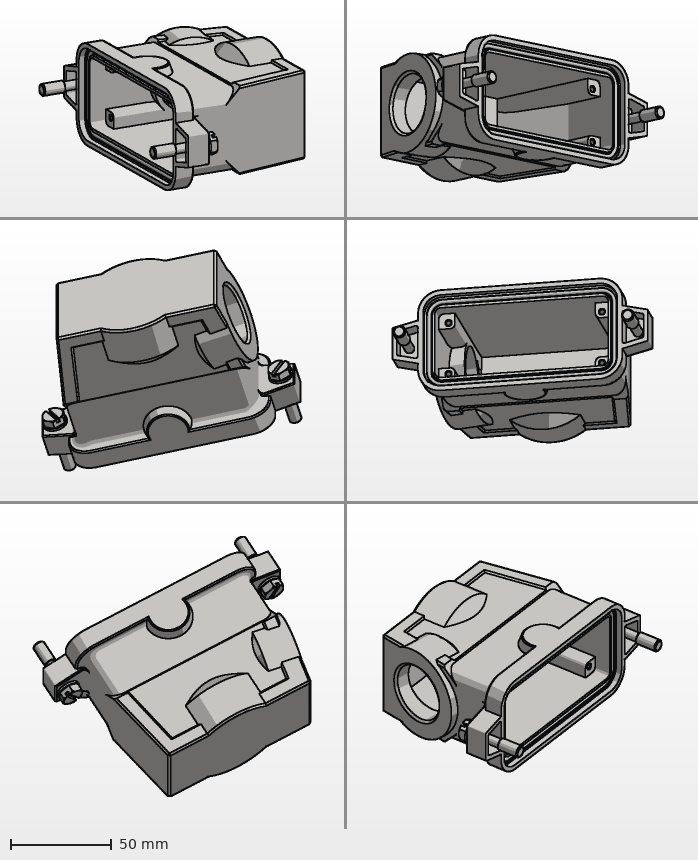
import cadquery as cq
import math


FLANGE_X = 103.6
FLANGE_Z = 53.1
FLANGE_HEIGHT = 10.4
FLANGE_RADIUS = 11.7
FLANGE_CHAMFER = 0.8

BODY_X = 93.8
BODY_Z = 43.0
BODY_TOP = 38.0
BODY_RADIUS = 7.1
BODY_FILLET = 3.6

HOOD_TOP = 80.2
HOOD_TOP_HALF_X = 39.4
HOOD_HALF_Z = 23.0
HOOD_CHAMFER = 1.0
PANEL_HALF_Z = 22.1
PANEL_TOP = 73.0
PANEL_TOP_HALF_X = 33.7
PANEL_BOTTOM_HALF_X = 39.2
CORNER_CUT_Z = 14.8

TOP_PORT_RADIUS = 28.5
TOP_PORT_END = 60.0

SIDE_TILT = 10.0
SIDE_FACE_TOP_X = -42.5
SIDE_PORT_Y = 55.7
SIDE_PORT_RADIUS = 25.0
SIDE_PORT_LENGTH = 17.7
BORE_RADIUS = 15.0
BORE_CHAMFER = 1.3
SLEEVE_RADIUS = 18.1

CAVITY_HALF_X = 43.9
CAVITY_HALF_Z = 18.4
CAVITY_RADIUS = 2.8
CAVITY_STRAIGHT = 35.0
CAVITY_TOP = 77.0
CAVITY_TOP_HALF_X = 35.7

POST_X = 38.8
POST_Z = 13.5
POST_INNER_X = 35.6
POST_INNER_Z = 10.4
POST_RADIUS = 2.5
POST_BOTTOM = 12.3
POST_HOLE_RADIUS = 1.3
POST_HOLE_DEPTH = 7.8
POST_HOLE_CHAMFER = 0.4

SEAT_INSET = 2.6
SEAT_DEPTH = 3.4
GROOVE_INSET = 3.8
GROOVE_WIDTH = 2.91
GROOVE_DEPTH = 2.1
BEAD_INSET = 4.8
BEAD_RADIUS = 1.2

BUMP_Y = 12.3
BUMP_TIP_RADIUS = 10.5
BUMP_CHAMFER = 0.5
BUMP_BASE_RADIUS = 12.3

EAR_TIP_X = 64.8
EAR_TIP_HALF_Z = 8.3
EAR_ROOT_HALF_Z = 11.4
EAR_HEIGHT = 12.2
EAR_CHAMFER = 0.6
EAR_CORNER_RADIUS = 0.8
EAR_FILLET = 2.8
EAR_WALL = 2.2
EAR_POCKET_TIP_HALF_Z = 6.2
EAR_POCKET_ROOT_HALF_Z = 9.0
EAR_POCKET_DEPTH = 9.1
EAR_POCKET_RADIUS = 1.2

SCREW_X = 57.9
SHANK_RADIUS = 2.4
THREAD_RADIUS = 3.1
THREAD_START = -4.5
THREAD_END = -16.5
THREAD_CHAMFER = 0.6
WASHER_RADIUS = 6.1
WASHER_HEIGHT = 1.3
HEX_FLATS = 10.4
HEX_TOP = 17.7
HEX_CHAMFER = 0.6
SLOT_WIDTH = 1.7
SLOT_DEPTH = 2.0
SLOT_ANGLE = 60.0

body_half_x = BODY_X / 2
body_half_z = BODY_Z / 2
flange_half_x = FLANGE_X / 2
flange_half_z = FLANGE_Z / 2
frame_bottom = BODY_TOP + HOOD_HALF_Z - body_half_z
port_core_radius = body_half_z - 1.3
side_slope = math.tan(math.radians(SIDE_TILT))
side_port_x = SIDE_FACE_TOP_X - (HOOD_TOP - SIDE_PORT_Y) * side_slope


def above(y):
    """Plane at height y whose extrusions run toward +Y; local axes are X and -Z."""
    return cq.Workplane(cq.Plane((0, y, 0), (1, 0, 0), (0, 1, 0)))


def rounded_block(size_x, size_z, radius, bottom, top):
    return above(bottom).rect(size_x, size_z).extrude(top - bottom).edges("|Y").fillet(radius)


def turned(points, plane):
    """Solid of revolution from (radius, height) points, about the local Y axis of the plane."""
    return cq.Workplane(plane).polyline(points).close().revolve(360, (0, 0), (0, 1))


def mirrored_x(shape):
    return shape.union(shape.mirror("YZ"))


def mirrored_z(shape):
    return shape.union(shape.mirror("XY"))


def hood_half_x(y):
    """Half width of the tapered hood at height y."""
    share = (HOOD_TOP - y) / (HOOD_TOP - BODY_TOP)
    return HOOD_TOP_HALF_X + share * (body_half_x - HOOD_TOP_HALF_X)


def base():
    flange = rounded_block(FLANGE_X, FLANGE_Z, FLANGE_RADIUS, 0, FLANGE_HEIGHT)
    flange = flange.faces(">Y").edges().chamfer(FLANGE_CHAMFER)
    body = rounded_block(BODY_X, BODY_Z, BODY_RADIUS, FLANGE_HEIGHT, BODY_TOP)
    joined = flange.union(body)
    root = cq.selectors.BoxSelector(
        (-body_half_x - 0.1, FLANGE_HEIGHT - 0.1, -body_half_z - 0.1),
        (body_half_x + 0.1, FLANGE_HEIGHT + 0.1, body_half_z + 0.1),
    )
    return joined.edges(root).fillet(BODY_FILLET)


def hood():
    outline = [
        (body_half_x, BODY_TOP),
        (-body_half_x, BODY_TOP),
        (-hood_half_x(SIDE_PORT_Y), SIDE_PORT_Y),
        (side_port_x, SIDE_PORT_Y),
        (SIDE_FACE_TOP_X, HOOD_TOP),
        (HOOD_TOP_HALF_X, HOOD_TOP),
    ]
    frame = cq.Workplane("XY").polyline(outline).close().extrude(HOOD_HALF_Z, both=True)
    long_edges = frame.faces("<Z or >Z").edges("not <Y")
    frame = frame.newObject(long_edges.vals() + frame.faces(">Y").edges("|Z").vals())
    frame = frame.chamfer(HOOD_CHAMFER)

    corner_y = BODY_TOP - (body_half_z - CORNER_CUT_Z)
    corner_wedge = (
        cq.Workplane("YZ")
        .polyline([
            (BODY_TOP, body_half_z), (corner_y, CORNER_CUT_Z),
            (corner_y, -CORNER_CUT_Z), (BODY_TOP, -body_half_z),
        ])
        .close()
        .extrude(body_half_x, both=True)
    )
    frame_slope = (
        cq.Workplane("YZ")
        .polyline([
            (BODY_TOP, body_half_z),
            (frame_bottom, HOOD_HALF_Z),
            (HOOD_TOP, HOOD_HALF_Z),
            (HOOD_TOP, -HOOD_HALF_Z),
            (frame_bottom, -HOOD_HALF_Z),
            (BODY_TOP, -body_half_z),
        ])
        .close()
        .extrude(flange_half_x, both=True)
    )
    return frame.intersect(frame_slope).cut(panel_recesses()).union(corner_wedge)


def panel_recesses():
    """Sunken panels with 45 degree walls, open toward the body."""
    step = HOOD_HALF_Z - PANEL_HALF_Z
    slope = (PANEL_BOTTOM_HALF_X - PANEL_TOP_HALF_X) / (PANEL_TOP - frame_bottom)
    bottom = BODY_TOP - step

    def outline(height, inset):
        low = PANEL_TOP_HALF_X + slope * (PANEL_TOP - bottom) - inset
        high = PANEL_TOP_HALF_X - inset
        top = PANEL_TOP - inset
        corners = [(-low, bottom), (low, bottom), (high, top), (-high, top)]
        return cq.Workplane("XY", origin=(0, 0, height)).polyline(corners).close().val()

    pocket = cq.Solid.makeLoft([outline(PANEL_HALF_Z, step), outline(HOOD_HALF_Z, 0)], True)
    return mirrored_z(cq.Workplane(pocket))


def top_port():
    """Closed cylinder whose inner end tapers into the panels at 45 degrees."""
    points = [
        (0, TOP_PORT_END - (TOP_PORT_RADIUS - port_core_radius)),
        (port_core_radius, TOP_PORT_END - (TOP_PORT_RADIUS - port_core_radius)),
        (TOP_PORT_RADIUS, TOP_PORT_END),
        (TOP_PORT_RADIUS, HOOD_TOP - HOOD_CHAMFER),
        (TOP_PORT_RADIUS - HOOD_CHAMFER, HOOD_TOP),
        (0, HOOD_TOP),
    ]
    return turned(points, "XY")


tilt = math.radians(SIDE_TILT)
side_plane = cq.Plane((side_port_x, SIDE_PORT_Y, 0), (math.sin(tilt), math.cos(tilt), 0),
                      (0, 0, -1))


def side_port():
    end = SIDE_PORT_LENGTH + SIDE_PORT_RADIUS - port_core_radius
    points = [
        (0, 0),
        (SIDE_PORT_RADIUS, 0),
        (SIDE_PORT_RADIUS, SIDE_PORT_LENGTH),
        (port_core_radius, end),
        (0, end),
    ]
    above_hood = above(HOOD_TOP - HOOD_CHAMFER).rect(FLANGE_X, FLANGE_Z).extrude(SIDE_PORT_RADIUS)
    return turned(points, side_plane).cut(above_hood)


def side_bore():
    points = [
        (0, 0),
        (BORE_RADIUS + BORE_CHAMFER, 0),
        (BORE_RADIUS, BORE_CHAMFER),
        (BORE_RADIUS, SIDE_PORT_LENGTH),
        (0, SIDE_PORT_LENGTH),
    ]
    return turned(points, side_plane)


def bumps():
    cone = (
        cq.Workplane("XY", origin=(0, BUMP_Y, body_half_z))
        .circle(BUMP_BASE_RADIUS)
        .workplane(offset=flange_half_z - body_half_z)
        .circle(BUMP_TIP_RADIUS)
        .loft()
        .faces(">Z")
        .chamfer(BUMP_CHAMFER)
    )
    foot = cq.Workplane("XY", origin=(0, BUMP_Y, 0)).circle(BUMP_BASE_RADIUS).extrude(body_half_z)
    return mirrored_z(cone.union(foot))


def ear_prism(inner_x, inner_half_z, outer_x, outer_half_z, height):
    corners = [
        (inner_x, inner_half_z), (outer_x, outer_half_z),
        (outer_x, -outer_half_z), (inner_x, -inner_half_z),
    ]
    return above(0).polyline(corners).close().extrude(height)


def ear():
    """Ear on the +X side, hollow from below, blended into the end of the body."""
    slope = (EAR_ROOT_HALF_Z - EAR_TIP_HALF_Z) / (EAR_TIP_X - flange_half_x)
    inner_half_z = EAR_ROOT_HALF_Z + slope * (flange_half_x - body_half_x)
    lug = ear_prism(body_half_x, inner_half_z, EAR_TIP_X, EAR_TIP_HALF_Z, EAR_HEIGHT)
    lug = lug.edges("|Y and >X").fillet(EAR_CORNER_RADIUS)
    lug = lug.faces(">Y").edges("not <X").chamfer(EAR_CHAMFER)
    pocket = ear_prism(flange_half_x, EAR_POCKET_ROOT_HALF_Z, EAR_TIP_X - EAR_WALL,
                       EAR_POCKET_TIP_HALF_Z, EAR_POCKET_DEPTH)
    pocket = pocket.edges("|Y").fillet(EAR_POCKET_RADIUS)
    blend = (
        cq.Workplane("XY")
        .moveTo(body_half_x, EAR_HEIGHT)
        .lineTo(body_half_x + EAR_FILLET, EAR_HEIGHT)
        .radiusArc((body_half_x, EAR_HEIGHT + EAR_FILLET), EAR_FILLET)
        .close()
        .extrude(EAR_ROOT_HALF_Z, both=True)
    )
    return lug.union(blend).cut(pocket)


def screw():
    """Slotted hex screw with washer, standing in the +X ear."""
    washer_top = EAR_HEIGHT + WASHER_HEIGHT
    hex_corner_radius = HEX_FLATS / math.sqrt(3)
    pin = turned(
        [
            (0, THREAD_END),
            (THREAD_RADIUS - THREAD_CHAMFER, THREAD_END),
            (THREAD_RADIUS, THREAD_END + THREAD_CHAMFER),
            (THREAD_RADIUS, THREAD_START),
            (SHANK_RADIUS, THREAD_START),
            (SHANK_RADIUS, EAR_HEIGHT),
            (WASHER_RADIUS, EAR_HEIGHT),
            (WASHER_RADIUS, washer_top),
            (0, washer_top),
        ],
        "XY",
    )
    head = above(washer_top).transformed(rotate=(0, 0, 30)).polygon(6, 2 * hex_corner_radius)
    head = head.extrude(HEX_TOP - washer_top)
    crown = above(washer_top).circle(hex_corner_radius).extrude(HEX_TOP - washer_top)
    head = head.intersect(crown.faces(">Y").chamfer(HEX_CHAMFER))
    slot = above(HEX_TOP - SLOT_DEPTH).rect(3 * HEX_FLATS, SLOT_WIDTH).extrude(2 * SLOT_DEPTH)
    slot = slot.rotate((0, 0, 0), (0, 1, 0), -SLOT_ANGLE)
    return pin.union(head.cut(slot)).translate((SCREW_X, 0, 0))


def cavity():
    """Interior space left between the walls, the corner posts and the side port sleeve."""
    outline = [
        (CAVITY_HALF_X, 0), (CAVITY_HALF_X, CAVITY_STRAIGHT), (CAVITY_TOP_HALF_X, CAVITY_TOP),
        (-CAVITY_TOP_HALF_X, CAVITY_TOP), (-CAVITY_HALF_X, CAVITY_STRAIGHT), (-CAVITY_HALF_X, 0),
    ]
    space = cq.Workplane("XY").polyline(outline).close().extrude(CAVITY_HALF_Z, both=True)
    space = space.edges("|Y").fillet(CAVITY_RADIUS)

    post_size_x = body_half_x - POST_INNER_X
    post_size_z = body_half_z - POST_INNER_Z
    post = (
        above(POST_BOTTOM)
        .center(POST_INNER_X + post_size_x / 2, POST_INNER_Z + post_size_z / 2)
        .rect(post_size_x, post_size_z)
        .extrude(HOOD_TOP - POST_BOTTOM)
        .edges("|Y and <X and >Z")
        .fillet(POST_RADIUS)
    )
    sleeve = turned([(0, 0), (SLEEVE_RADIUS, 0), (SLEEVE_RADIUS, SIDE_PORT_LENGTH), (0, SIDE_PORT_LENGTH)],
                    side_plane)
    sleeve_limit = above(0).rect(2 * POST_INNER_X, FLANGE_Z).extrude(HOOD_TOP)
    return space.cut(mirrored_x(mirrored_z(post))).cut(sleeve.cut(sleeve_limit))


def post_holes():
    hole = turned(
        [
            (0, POST_BOTTOM),
            (POST_HOLE_RADIUS + POST_HOLE_CHAMFER, POST_BOTTOM),
            (POST_HOLE_RADIUS, POST_BOTTOM + POST_HOLE_CHAMFER),
            (POST_HOLE_RADIUS, POST_BOTTOM + POST_HOLE_DEPTH),
            (0, POST_BOTTOM + POST_HOLE_DEPTH),
        ],
        "XY",
    )
    return mirrored_x(mirrored_z(hole.translate((POST_X, 0, POST_Z))))


def inset_block(inset, bottom, top):
    """Block following the flange outline at a constant inset."""
    return rounded_block(FLANGE_X - 2 * inset, FLANGE_Z - 2 * inset, FLANGE_RADIUS - inset, bottom, top)


def seal_bead():
    """Round cord lying in the groove, its crest level with the seat."""
    centre_y = SEAT_DEPTH + BEAD_RADIUS
    path = inset_block(BEAD_INSET, centre_y, BODY_TOP).faces("<Y").wires().val()
    section = cq.Plane(path.startPoint(), normal=path.tangentAt(0))
    return cq.Workplane(section).circle(BEAD_RADIUS).sweep(cq.Workplane(path))


def seal_seat():
    groove_floor = SEAT_DEPTH + GROOVE_DEPTH
    seat = inset_block(SEAT_INSET, 0, SEAT_DEPTH)
    groove = inset_block(GROOVE_INSET, 0, groove_floor)
    island = inset_block(GROOVE_INSET + GROOVE_WIDTH, SEAT_DEPTH, groove_floor)
    return seat.union(groove.cut(island)).cut(seal_bead())


result = base().union(hood()).union(top_port()).union(side_port()).union(bumps())
result = result.union(mirrored_x(ear()))
result = result.cut(cavity()).cut(side_bore()).cut(post_holes()).cut(seal_seat())
result = result.union(mirrored_x(screw()))